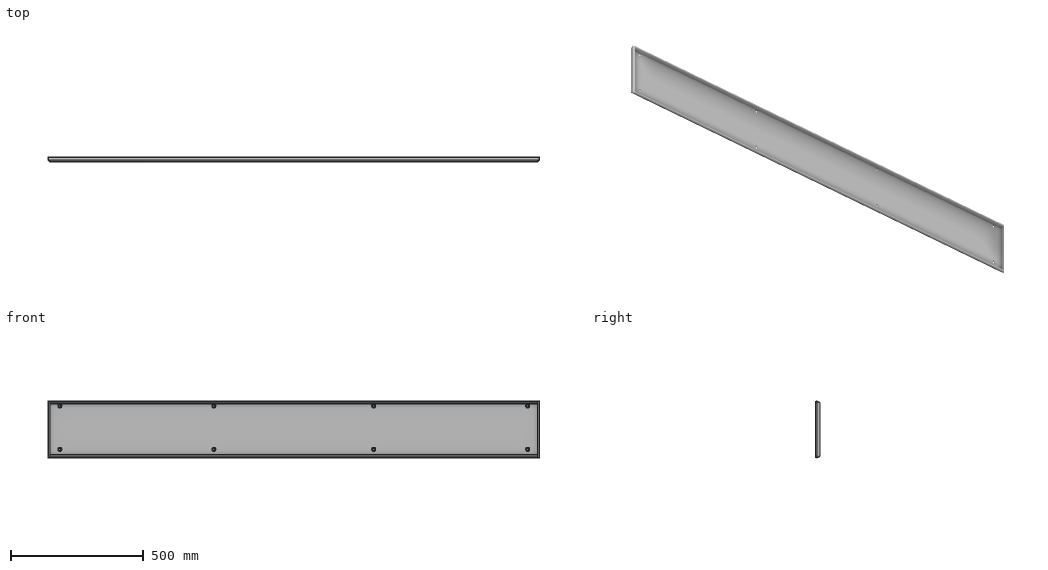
import cadquery as cq
import math

length = 1850.0
depth = 17.6
height = 213.94

wall_lean = math.radians(30)
inner_lean = math.radians(22)
nose_radius = 3.25
lip_setback = 0.9
brim_y = -2.75

bevel_angle = math.radians(41.57)

panel_thickness = 3.0
hole_columns = (-881.0, -301.0, 301.0, 881.0)
hole_rows = (-75.0, 88.5)
bore_diameter = 15.0
bore_depth = 1.0
hole_diameter = 8.0

front_y = -depth / 2
back_y = depth / 2
floor_y = back_y - panel_thickness
brim_z = height / 2
back_z = brim_z - (back_y - brim_y) * math.tan(wall_lean)

nose_y = front_y + nose_radius
lip_outer_z = brim_z - lip_setback
nose_z = lip_outer_z - nose_radius
lip_inner_z = nose_z - nose_radius
nose_diagonal = nose_radius * math.sqrt(0.5)

floor_z = lip_inner_z - (floor_y - nose_y) * math.tan(inner_lean)
bevel_width = (brim_y - front_y) / math.tan(bevel_angle)


def solid_body():
    """Outer shape: the long walls' outline filled up to the front plane."""
    return (
        cq.Workplane("YZ")
        .moveTo(back_y, -back_z)
        .lineTo(back_y, back_z)
        .lineTo(brim_y, brim_z)
        .lineTo(nose_y, lip_outer_z)
        .threePointArc((nose_y - nose_diagonal, nose_z + nose_diagonal), (front_y, nose_z))
        .lineTo(front_y, -nose_z)
        .threePointArc((nose_y - nose_diagonal, -nose_z - nose_diagonal), (nose_y, -lip_outer_z))
        .lineTo(brim_y, -brim_z)
        .close()
        .extrude(length / 2, both=True)
    )


def tray_pocket():
    """Recess between the walls, ending at the ridges of the end walls."""
    return (
        cq.Workplane("YZ")
        .moveTo(front_y, nose_z)
        .threePointArc((nose_y - nose_diagonal, nose_z - nose_diagonal), (nose_y, lip_inner_z))
        .lineTo(floor_y, floor_z)
        .lineTo(floor_y, -floor_z)
        .lineTo(nose_y, -lip_inner_z)
        .threePointArc((nose_y - nose_diagonal, -nose_z + nose_diagonal), (front_y, -nose_z))
        .close()
        .extrude(length / 2 - bevel_width, both=True)
    )


def end_bevel(side):
    """Wedge removed from the front corner of one end; side is -1 or 1."""
    end_x = side * length / 2
    ridge_x = side * (length / 2 - bevel_width)
    return (
        cq.Workplane("XY")
        .polyline([(end_x, brim_y), (end_x, front_y), (ridge_x, front_y)])
        .close()
        .extrude(height, both=True)
    )


def screw_holes():
    """Counterbored holes through the back panel, entered from the tray floor."""
    centres = [(x, z) for x in hole_columns for z in hole_rows]
    floor = cq.Workplane("XZ", origin=(0, floor_y, 0)).pushPoints(centres)
    through_holes = floor.circle(hole_diameter / 2).extrude(-panel_thickness)
    bores = floor.circle(bore_diameter / 2).extrude(-bore_depth)
    return through_holes.union(bores)


result = solid_body().cut(tray_pocket(), clean=False)
for side in (-1, 1):
    result = result.cut(end_bevel(side), clean=False)
result = result.cut(screw_holes(), clean=False)